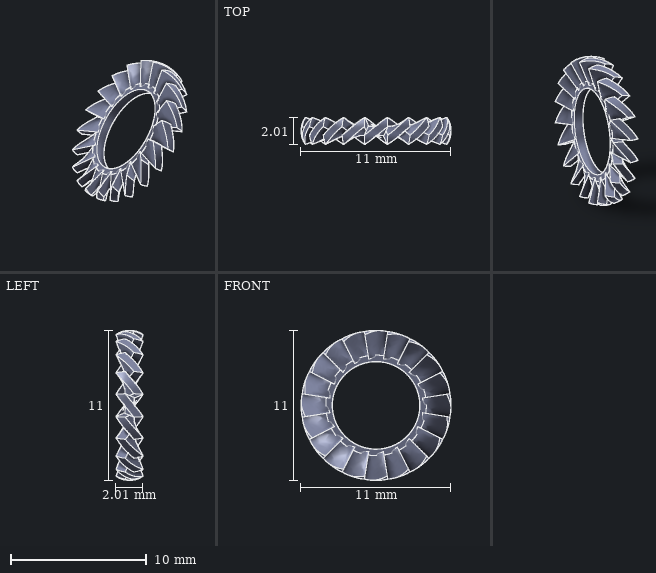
import cadquery as cq
import math

outer_radius = 5.52
bore_radius = 3.21
ring_radius = 3.7
ring_thickness = 0.71

tooth_count = 20
pitch_angle = 360 / tooth_count
half_pitch_tan = math.tan(math.radians(pitch_angle / 2))

root_distance = 3.37
root_offsets = (0.34, 0.34, 0.44)
tip_distance = 5.58
tip_half_thickness = 0.39
tip_rise = 0.75
tip_offsets = (
    tip_half_thickness + tip_rise,
    tip_half_thickness,
    tip_half_thickness - tip_rise,
)

washer_height = 2.01
corner_radius = 5.27


def tooth_section(distance, offsets):
    """Section with straight sides on the pitch planes; its faces match by a half turn."""
    half_width = distance * half_pitch_tan
    raised, middle, lowered = offsets
    front = [(-half_width, -raised), (0, -middle), (half_width, -lowered)]
    back = [(-x, -y) for x, y in front]
    front_points = [cq.Vector(x, y, distance) for x, y in front]
    back_points = [cq.Vector(x, y, distance) for x, y in back]
    edges = [
        cq.Edge.makeSpline(front_points),
        cq.Edge.makeLine(front_points[-1], back_points[0]),
        cq.Edge.makeSpline(back_points),
        cq.Edge.makeLine(back_points[-1], front_points[0]),
    ]
    return cq.Wire.assembleEdges(edges)


def make_root_trim():
    """Quarter disc over the ring face, on the lowered half of a tooth's front."""
    return (
        cq.Workplane("XZ", origin=(0, -ring_thickness / 2, 0))
        .moveTo(0, 0)
        .lineTo(ring_radius, 0)
        .radiusArc((0, ring_radius), -ring_radius)
        .close()
        .extrude(ring_thickness)
    )


def make_tooth():
    """Ruled loft cut flush with the ring where its lowered halves run over the ring."""
    sections = [
        tooth_section(root_distance, root_offsets),
        tooth_section(tip_distance, tip_offsets),
    ]
    front_trim = make_root_trim()
    back_trim = front_trim.rotate((0, 0, 0), (0, 0, 1), 180)
    body = cq.Workplane(cq.Solid.makeLoft(sections, True))
    return body.cut(front_trim).cut(back_trim).intersect(make_envelope())


def make_envelope():
    """Solid of revolution about Y that trims the tooth tips and opens the bore."""
    half_height = washer_height / 2
    return (
        cq.Workplane("XY")
        .moveTo(bore_radius, -half_height)
        .lineTo(corner_radius, -half_height)
        .threePointArc((outer_radius, 0), (corner_radius, half_height))
        .lineTo(bore_radius, half_height)
        .close()
        .revolve(360, (0, 0), (0, 1))
    )


ring = (
    cq.Workplane("XZ")
    .circle(ring_radius)
    .circle(bore_radius)
    .extrude(ring_thickness / 2, both=True)
)

tooth = make_tooth()

result = ring
for index in range(tooth_count):
    angle = index * pitch_angle
    result = result.union(tooth.rotate((0, 0, 0), (0, 1, 0), angle))